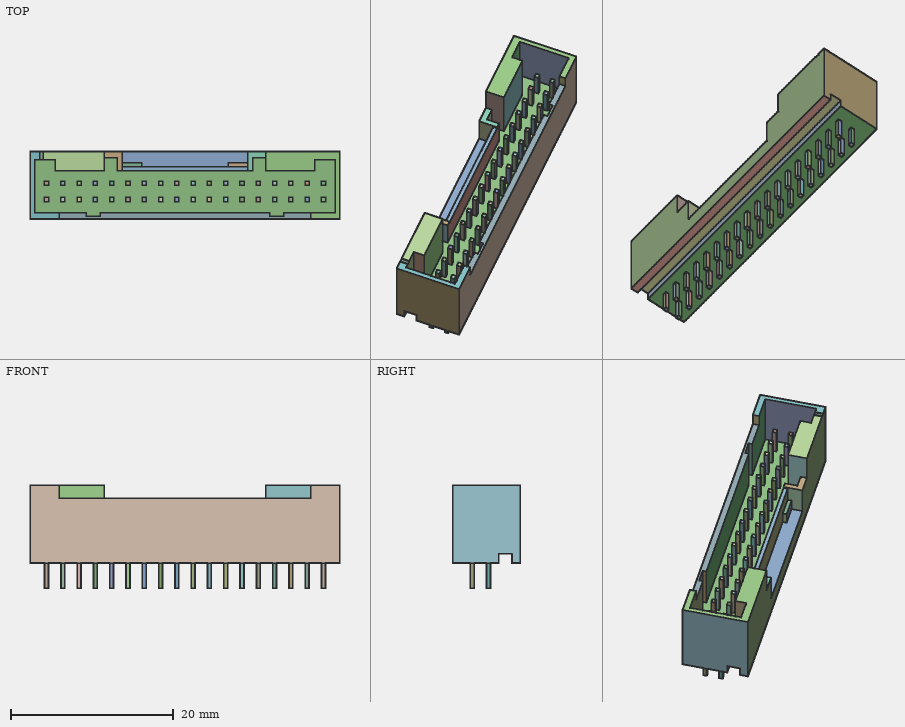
import cadquery as cq

HOUSING_LENGTH = 38.0
HOUSING_WIDTH = 8.3
HOUSING_HEIGHT = 9.6
OUTER_X = HOUSING_LENGTH / 2

END_WALL = 0.58
FRONT_WALL = 0.8
BACK_WALL = 1.02
FLOOR_THICKNESS = 2.5

FRONT_RIM_Z = HOUSING_HEIGHT - 1.6
FRONT_WINDOW_HALF = 15.43
FRONT_GROOVE_X = 11.25
FRONT_GROOVE_WIDTH = 1.7
FRONT_GROOVE_DEPTH = 0.47

BLOCK_OUTER_X = 15.9
BLOCK_INNER_X = 9.9
BLOCK_REACH = 2.4

POCKET_RIM_Z = 6.15
THIN_RIM_Z = 5.95
POCKET_INNER_X = 8.32
POCKET_WALL = 0.8

RECESS_HALF = 7.7
RECESS_DEPTH = 1.88
RECESS_FLOOR_Z = FLOOR_THICKNESS
RIB_LENGTH = 2.42
RIB_THICKNESS = 0.5
RIB_TOP_Z = 4.0

MARK_X = -17.6
MARK_WIDTH = 0.46
MARK_DEPTH = 0.1

CHANNEL_BACK_WALL = 1.03
CHANNEL_WIDTH = 1.6
CHANNEL_HEIGHT = 1.15

PIN_COUNT = 18
PIN_PITCH = 2.0
PIN_SIZE = 0.5
PIN_ROWS = (2.4, 4.4)
PIN_TAIL = 3.1
PIN_TOP_Z = 5.8


def box(x_min, x_max, y_min, y_max, z_min, z_max):
    """Box given by its limits along each axis."""
    return cq.Workplane("XY").box(
        x_max - x_min, y_max - y_min, z_max - z_min, centered=False
    ).translate((x_min, y_min, z_min))


def both_ends(shape):
    """The shape together with its mirror image across X = 0."""
    return shape.union(shape.mirror("YZ"))


def from_back(distance):
    """Y position at a distance in from the back face."""
    return HOUSING_WIDTH - distance


def make_shell():
    """Open-topped box with the guide blocks and the thick middle of the back wall."""
    shell = box(-OUTER_X, OUTER_X, 0, HOUSING_WIDTH, 0, HOUSING_HEIGHT)
    cavity_x = OUTER_X - END_WALL
    cavity = box(-cavity_x, cavity_x, FRONT_WALL, from_back(BACK_WALL), FLOOR_THICKNESS, HOUSING_HEIGHT)
    thick_wall = box(
        -BLOCK_OUTER_X, BLOCK_OUTER_X, from_back(BLOCK_REACH), HOUSING_WIDTH, 0, HOUSING_HEIGHT
    )
    return shell.cut(cavity).union(thick_wall)


def cut_front_wall(body):
    """Lower the front rim and cut two vertical grooves in the wall's inner face."""
    window = box(-FRONT_WINDOW_HALF, FRONT_WINDOW_HALF, 0, FRONT_WALL, FRONT_RIM_Z, HOUSING_HEIGHT)
    groove = box(
        FRONT_GROOVE_X - FRONT_GROOVE_WIDTH / 2, FRONT_GROOVE_X + FRONT_GROOVE_WIDTH / 2,
        FRONT_WALL - FRONT_GROOVE_DEPTH, FRONT_WALL, FLOOR_THICKNESS, HOUSING_HEIGHT,
    )
    return body.cut(window).cut(both_ends(groove))


def cut_back_wall(body):
    """Lower the middle of the back wall, open the pockets and hollow its outer side, leaving two ribs."""
    window = box(
        -BLOCK_INNER_X, BLOCK_INNER_X, from_back(BLOCK_REACH), HOUSING_WIDTH, POCKET_RIM_Z, HOUSING_HEIGHT
    )
    pocket = box(
        POCKET_INNER_X, BLOCK_INNER_X, from_back(BLOCK_REACH), from_back(POCKET_WALL),
        FLOOR_THICKNESS, POCKET_RIM_Z,
    )
    recess_y = from_back(RECESS_DEPTH)
    recess = box(-RECESS_HALF, RECESS_HALF, recess_y, HOUSING_WIDTH, RECESS_FLOOR_Z, POCKET_RIM_Z)
    thin_rim = box(-RECESS_HALF, RECESS_HALF, from_back(BLOCK_REACH), recess_y, THIN_RIM_Z, POCKET_RIM_Z)
    rib = box(
        RECESS_HALF - RIB_LENGTH, RECESS_HALF, recess_y, recess_y + RIB_THICKNESS, RECESS_FLOOR_Z, RIB_TOP_Z
    )
    return body.cut(window).cut(both_ends(pocket)).cut(recess).cut(thin_rim).union(both_ends(rib))


def cut_pin_one_mark(body):
    """Shallow groove across the top of the back wall near the first pins."""
    mark = box(
        MARK_X - MARK_WIDTH / 2, MARK_X + MARK_WIDTH / 2, from_back(BACK_WALL), HOUSING_WIDTH,
        HOUSING_HEIGHT - MARK_DEPTH, HOUSING_HEIGHT,
    )
    return body.cut(mark)


def cut_channel(body):
    """Channel through the full length of the underside."""
    channel_back = from_back(CHANNEL_BACK_WALL)
    channel = box(-OUTER_X, OUTER_X, channel_back - CHANNEL_WIDTH, channel_back, 0, CHANNEL_HEIGHT)
    return body.cut(channel)


def make_pins():
    """Two rows of square pins passing through the floor."""
    first_x = -PIN_PITCH * (PIN_COUNT - 1) / 2
    points = [(first_x + i * PIN_PITCH, y) for y in PIN_ROWS for i in range(PIN_COUNT)]
    pin_plane = cq.Workplane("XY", origin=(0, 0, -PIN_TAIL))
    return pin_plane.pushPoints(points).rect(PIN_SIZE, PIN_SIZE).extrude(PIN_TAIL + PIN_TOP_Z)


housing = make_shell()
housing = cut_front_wall(housing)
housing = cut_back_wall(housing)
housing = cut_pin_one_mark(housing)
housing = cut_channel(housing)
result = housing.union(make_pins())